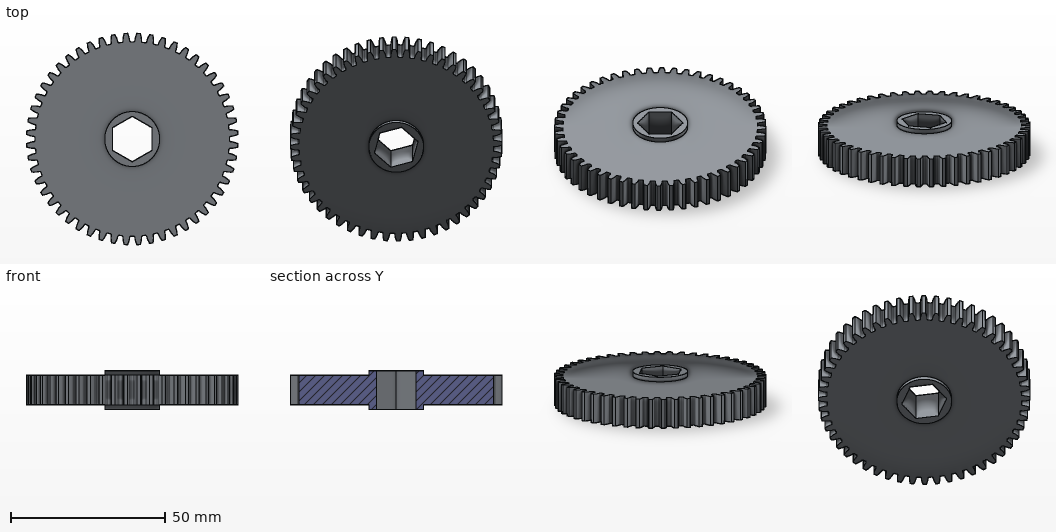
import cadquery as cq
import math

TOOTH_COUNT = 52
INCH = 25.4
DIAMETRAL_PITCH = 20
MODULE = INCH / DIAMETRAL_PITCH
PRESSURE_ANGLE = math.radians(14.5)
PITCH_RADIUS = MODULE * TOOTH_COUNT / 2
BASE_RADIUS = PITCH_RADIUS * math.cos(PRESSURE_ANGLE)
TIP_RADIUS = PITCH_RADIUS + MODULE
DEDENDUM_FACTOR = 1.2
ROOT_RADIUS = PITCH_RADIUS - DEDENDUM_FACTOR * MODULE
ROOT_FILLET = 0.4
BACKLASH = 0.18
FLANK_STEPS = 6
TOOTH_PITCH = 2 * math.pi / TOOTH_COUNT

HUB_HEIGHT = 12.6
HUB_STEP = 1.5
FACE_WIDTH = HUB_HEIGHT - 2 * HUB_STEP
HUB_DIAMETER = 17.8
HEX_ACROSS_FLATS = INCH / 2
HEX_SIDES = 6
HEX_CORNER_DIAMETER = HEX_ACROSS_FLATS / math.cos(math.pi / HEX_SIDES)


def polar(radius, angle):
    """Cartesian point at a radius and an angle in radians."""
    return (radius * math.cos(angle), radius * math.sin(angle))


def mirrored(point):
    """Reflection of a point or direction across the X axis."""
    return (point[0], -point[1])


def reversed_direction(direction):
    return (-direction[0], -direction[1])


def tooth_gap():
    """Cutter for the gap on the +X axis: filleted root, radial feet, involute flanks."""
    half_tooth_at_pitch = (TOOTH_PITCH - BACKLASH / PITCH_RADIUS) / 4
    involute_at_pitch = math.tan(PRESSURE_ANGLE) - PRESSURE_ANGLE
    foot_angle = TOOTH_PITCH / 2 - half_tooth_at_pitch - involute_at_pitch

    tip_roll = math.sqrt((TIP_RADIUS / BASE_RADIUS) ** 2 - 1)
    rolls = [tip_roll * step / FLANK_STEPS for step in range(FLANK_STEPS + 1)]
    upper = [
        polar(BASE_RADIUS * math.hypot(1, roll), foot_angle + roll - math.atan(roll))
        for roll in rolls
    ]
    lower = [mirrored(point) for point in upper]
    foot_direction = polar(1, foot_angle)
    tip_direction = polar(1, foot_angle + tip_roll)
    lower_tangents = [mirrored(foot_direction), mirrored(tip_direction)]
    upper_tangents = [reversed_direction(tip_direction), reversed_direction(foot_direction)]

    outside = TIP_RADIUS + MODULE
    root_upper = polar(ROOT_RADIUS, foot_angle)
    root_lower = mirrored(root_upper)
    gap = (
        cq.Workplane("XY")
        .workplane(offset=-FACE_WIDTH / 2)
        .moveTo(*root_lower)
        .lineTo(*lower[0])
        .spline(lower[1:], tangents=lower_tangents, includeCurrent=True)
        .lineTo(outside, lower[-1][1])
        .lineTo(outside, upper[-1][1])
        .lineTo(*upper[-1])
        .spline(upper[-2::-1], tangents=upper_tangents, includeCurrent=True)
        .lineTo(*root_upper)
        .threePointArc((ROOT_RADIUS, 0), root_lower)
        .close()
        .extrude(FACE_WIDTH)
    )
    root_corners = cq.selectors.BoxSelector(
        (0, -TIP_RADIUS, -FACE_WIDTH),
        ((ROOT_RADIUS + BASE_RADIUS) / 2, TIP_RADIUS, FACE_WIDTH),
    )
    return gap.edges("|Z").edges(root_corners).fillet(ROOT_FILLET)


def toothed_disc():
    """Blank at the tip diameter with every tooth gap cut away."""
    blank = cq.Workplane("XY").circle(TIP_RADIUS).extrude(FACE_WIDTH / 2, both=True)
    gap = tooth_gap().val()
    gaps = [
        gap.rotate((0, 0, 0), (0, 0, 1), math.degrees(index * TOOTH_PITCH))
        for index in range(TOOTH_COUNT)
    ]
    return cq.Workplane(blank.val().cut(*gaps))


def hub():
    """Round hub standing proud of both faces of the disc."""
    return cq.Workplane("XY").circle(HUB_DIAMETER / 2).extrude(HUB_HEIGHT / 2, both=True)


def hex_bore():
    """Through bore with two corners on the Y axis."""
    return (
        cq.Workplane("XY")
        .transformed(rotate=(0, 0, 90))
        .polygon(HEX_SIDES, HEX_CORNER_DIAMETER)
        .extrude(HUB_HEIGHT, both=True)
    )


result = toothed_disc().union(hub()).cut(hex_bore())